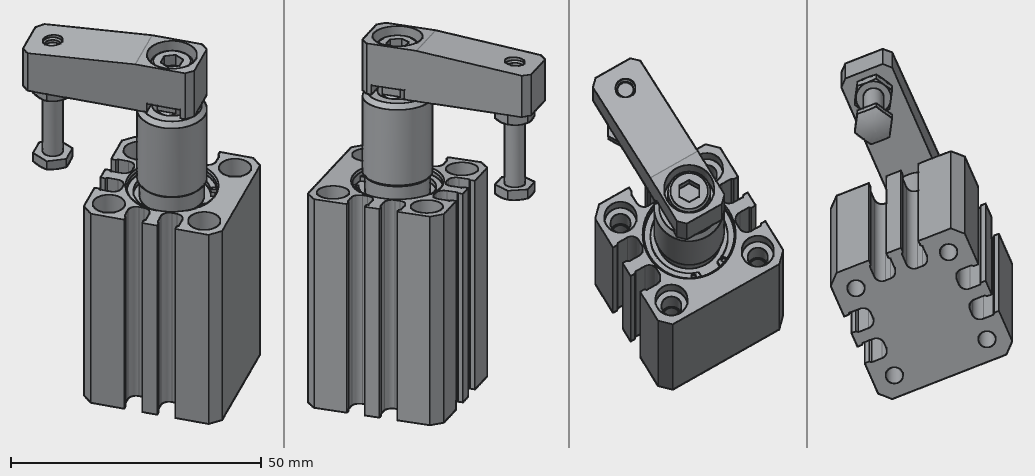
import cadquery as cq
import math


overall_length = 44.5

housing_width = 29.0
housing_height = 45.5
housing_chamfer = 2.15

mount_spacing = 20.0
mount_bore_dia = 6.5
mount_bore_depth = 4.2
mount_thread_dia = 4.0
mount_thread_depth = 7.0
mount_hole_dia = 3.5

slot_offset = 3.5
slot_neck_width = 3.8
slot_width = 4.5
slot_neck_depth = 1.0
slot_depth = 5.2
slot_floor_radius = 1.7

recess_dia = 18.0
recess_depth = 2.3
recess_rim_dia = 18.6
recess_rim_depth = 0.5
clip_inner_dia = 15.5
clip_thickness = 1.0
clip_gap = 4.3
clip_hole_dia = 1.0
clip_hole_radius = 8.5
clip_hole_angle = 24.5

rod_dia = 13.0
rod_insertion = 10.0
collar_dia = 14.0
collar_bottom = 47.05
collar_top = 65.0
collar_top_chamfer = 1.0
key_dia = 8.0
key_width = 7.0
key_height = 3.0
key_top_chamfer = 0.5

screw_shank_dia = 5.0
screw_head_dia = 8.5
screw_head_height = 5.0
screw_head_chamfer = 0.5
screw_socket_width = 4.0
screw_socket_depth = 2.5

arm_top = 77.0
arm_width = 11.0
arm_height = 11.0
arm_back = 6.0
arm_corner_chamfer = 1.5
arm_slope_start = -6.0
arm_slope_angle = 5.0
key_slot_depth = 2.0
screw_bore_dia = 10.0
screw_bore_depth = 6.5
screw_hole_dia = 5.5
bolt_hole_dia = 3.2
bolt_hole_mouth_dia = 4.0
bolt_hole_mouth_depth = 0.6

bolt_x = -25.0
bolt_dia = 4.15
bolt_end_recess = 1.6
hex_width = 7.0
nut_height = 3.0
bolt_tip = 46.0
bolt_head_height = 2.85
bolt_dome_radius = 10.0
nut_chamfer_angle = 30.0

collar_bottom_chamfer = (collar_dia - rod_dia) / 2
half_housing = housing_width / 2
arm_front = overall_length - half_housing
recess_floor = housing_height - recess_depth
rod_bottom = recess_floor - rod_insertion
arm_bottom = arm_top - arm_height
key_top = collar_top + key_height
screw_seat = arm_top - screw_bore_depth
screw_head_top = screw_seat + screw_head_height
arm_slope = math.tan(math.radians(arm_slope_angle))
arm_front_top = arm_top - (arm_front + arm_slope_start) * arm_slope
bolt_hole_top = arm_top - (arm_slope_start - bolt_x) * arm_slope
bolt_end = bolt_hole_top - bolt_end_recess


def cylinder(diameter, bottom, top, x=0.0, y=0.0):
    """Upright cylinder between two heights."""
    return cq.Workplane("XY", origin=(x, y, bottom)).circle(diameter / 2).extrude(top - bottom)


def cone(top_dia, bottom_dia, top, depth, x=0.0):
    """Upright cone that narrows downward from its top face."""
    outline = cq.Workplane("XY", origin=(x, 0, top)).circle(top_dia / 2)
    return outline.workplane(offset=-depth).circle(bottom_dia / 2).loft()


def hexagon(across_flats, bottom, top, x=0.0):
    """Upright hexagonal prism with two of its corners on the Y direction."""
    across_corners = across_flats / math.cos(math.pi / 6)
    prism = cq.Workplane("XY").polygon(6, across_corners).extrude(top - bottom)
    return prism.rotate((0, 0, 0), (0, 0, 1), 90).translate((x, 0, bottom))


def side_slot():
    """Necked slot with a rounded floor, cut into the -Y side and centred on X = 0."""
    neck = slot_neck_width / 2
    half = slot_width / 2
    side = -half_housing
    shoulder = side + slot_neck_depth
    wall_start = shoulder + half - neck
    floor = side + slot_depth
    radius = slot_floor_radius
    diagonal = radius * math.sqrt(0.5)
    arc_start = floor - radius
    arc_x = half - radius + diagonal
    arc_y = arc_start + diagonal
    outline = (
        cq.Workplane("XY")
        .moveTo(-neck, side)
        .lineTo(-neck, shoulder)
        .lineTo(-half, wall_start)
        .lineTo(-half, arc_start)
        .threePointArc((-arc_x, arc_y), (radius - half, floor))
        .lineTo(half - radius, floor)
        .threePointArc((arc_x, arc_y), (half, arc_start))
        .lineTo(half, wall_start)
        .lineTo(neck, shoulder)
        .lineTo(neck, side)
        .close()
    )
    return outline.extrude(housing_height)


def retaining_clip():
    """C-shaped ring on the recess floor, open toward +X, with two plier holes."""
    top = recess_floor + clip_thickness
    clip = cylinder(recess_dia, recess_floor, top).cut(cylinder(clip_inner_dia, recess_floor, top))
    gap = cq.Workplane("XY", origin=(0, 0, recess_floor)).rect(recess_dia, clip_gap).extrude(clip_thickness)
    clip = clip.cut(gap.translate((recess_dia / 2, 0, 0)))
    for angle in (-clip_hole_angle, clip_hole_angle):
        x = clip_hole_radius * math.cos(math.radians(angle))
        y = clip_hole_radius * math.sin(math.radians(angle))
        clip = clip.cut(cylinder(clip_hole_dia, recess_floor, top, x, y))
    return clip


def make_housing():
    body = cq.Workplane("XY").rect(housing_width, housing_width).extrude(housing_height)
    body = body.edges("|Z").chamfer(housing_chamfer)

    for turn in (0, -90, 180):
        for offset in (-slot_offset, slot_offset):
            slot = side_slot().translate((offset, 0, 0))
            body = body.cut(slot.rotate((0, 0, 0), (0, 0, 1), turn))

    bore_floor = housing_height - mount_bore_depth
    thread_end = bore_floor - mount_thread_depth
    for x in (-mount_spacing / 2, mount_spacing / 2):
        for y in (-mount_spacing / 2, mount_spacing / 2):
            body = body.cut(cylinder(mount_hole_dia, 0, housing_height, x, y))
            body = body.cut(cylinder(mount_thread_dia, thread_end, bore_floor, x, y))
            body = body.cut(cylinder(mount_bore_dia, bore_floor, housing_height, x, y))

    body = body.cut(cylinder(recess_dia, recess_floor, housing_height))
    body = body.cut(cone(recess_rim_dia, recess_dia, housing_height, recess_rim_depth))
    body = body.union(retaining_clip())
    return body.cut(cylinder(rod_dia, rod_bottom, recess_floor))


def square_key():
    """Square key with rounded corners, a chamfered top and flats that slope out to the bar at the base."""
    key = cylinder(key_dia, collar_top, key_top).faces(">Z").chamfer(key_top_chamfer)
    runout = (key_dia - key_width) / 2
    square = cq.Workplane("XY", origin=(0, 0, collar_top)).rect(key_width, key_width).extrude(key_height)
    base = (
        cq.Workplane("XY", origin=(0, 0, collar_top))
        .rect(key_dia, key_dia)
        .workplane(offset=runout)
        .rect(key_width, key_width)
        .loft()
    )
    return key.intersect(square.union(base))


def clamping_screw():
    """Socket head screw rising from the key; its head holds the arm down."""
    head = cylinder(screw_head_dia, screw_seat, screw_head_top).faces(">Z").chamfer(screw_head_chamfer)
    socket = hexagon(screw_socket_width, screw_head_top - screw_socket_depth, screw_head_top)
    return head.cut(socket).union(cylinder(screw_shank_dia, key_top, screw_seat))


def make_rod():
    collar = cylinder(collar_dia, collar_bottom, collar_top)
    collar = collar.faces(">Z").chamfer(collar_top_chamfer).faces("<Z").chamfer(collar_bottom_chamfer)
    rod = cylinder(rod_dia, rod_bottom, collar_bottom).union(collar)
    return rod.union(square_key()).union(clamping_screw())


def make_arm():
    profile = [
        (-arm_front, arm_bottom),
        (arm_back, arm_bottom),
        (arm_back, arm_top),
        (arm_slope_start, arm_top),
        (-arm_front, arm_front_top),
    ]
    arm = cq.Workplane("XZ").polyline(profile).close().extrude(arm_width / 2, both=True)
    arm = arm.edges("|Z").chamfer(arm_corner_chamfer)

    key_slot = cq.Workplane("XY", origin=(0, 0, arm_bottom)).rect(key_width, arm_width)
    arm = arm.cut(key_slot.extrude(key_slot_depth))

    arm = arm.cut(cylinder(screw_bore_dia, screw_seat, arm_top))
    arm = arm.cut(cylinder(screw_hole_dia, arm_bottom, screw_seat))

    mouth_bottom = bolt_hole_top - bolt_hole_mouth_depth
    countersink_depth = (bolt_hole_mouth_dia - bolt_hole_dia) / 2
    arm = arm.cut(cylinder(bolt_dia, arm_bottom, bolt_end, bolt_x))
    arm = arm.cut(cylinder(bolt_hole_dia, bolt_end, arm_top, bolt_x))
    arm = arm.cut(cylinder(bolt_hole_mouth_dia, mouth_bottom, arm_top, bolt_x))
    return arm.cut(cone(bolt_hole_mouth_dia, bolt_hole_dia, mouth_bottom, countersink_depth, bolt_x))


def clamp_nut():
    """Hexagonal nut under the arm, with its corners chamfered at both ends."""
    nut = hexagon(hex_width, arm_bottom - nut_height, arm_bottom, bolt_x)
    corner_dia = hex_width / math.cos(math.pi / 6)
    chamfer_width = (corner_dia - hex_width) / 2
    chamfer_height = chamfer_width * math.tan(math.radians(nut_chamfer_angle))
    limit = cylinder(corner_dia, arm_bottom - nut_height, arm_bottom, bolt_x)
    limit = limit.faces(">Z").chamfer(chamfer_height, chamfer_width)
    limit = limit.faces("<Z").chamfer(chamfer_height, chamfer_width)
    return nut.intersect(limit)


def make_clamp_bolt():
    head_top = bolt_tip + bolt_head_height
    head = hexagon(hex_width, bolt_tip, head_top, bolt_x)
    dome = cq.Workplane("XY").sphere(bolt_dome_radius).translate((bolt_x, 0, bolt_tip + bolt_dome_radius))
    shank = cylinder(bolt_dia, head_top, bolt_end, bolt_x)
    return head.intersect(dome).union(shank).union(clamp_nut())


housing = make_housing()
rod = make_rod()
arm = make_arm()
clamp_bolt = make_clamp_bolt()

result = cq.Compound.makeCompound([housing.val(), rod.val(), arm.val(), clamp_bolt.val()])